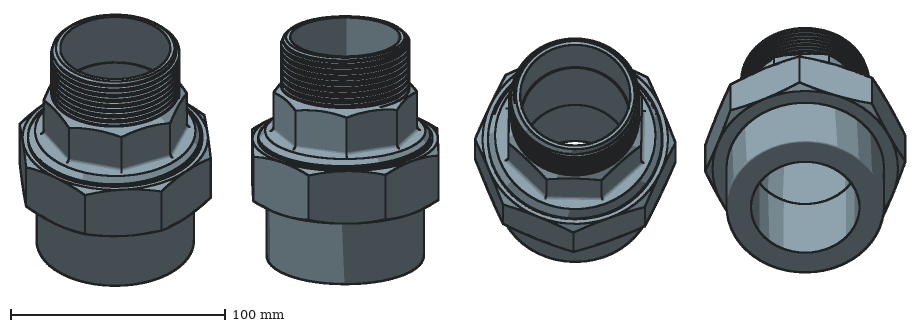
import cadquery as cq
import math

TOTAL_HEIGHT = 109.8

BORE_DIAMETER = 50.6
MOUTH_BORE_DIAMETER = 51.4
MOUTH_BORE_DEPTH = 25.6

THREAD_LENGTH = 24.7
THREAD_TURNS = 8.5
THREAD_PITCH = THREAD_LENGTH / THREAD_TURNS
RIDGE_ROOT_OVERLAP = 0.2
ENVELOPE_MARGIN = 1.1

PIPE_THREAD_DIAMETER = 59.9
PIPE_ROOT_DIAMETER = 57.1
PIPE_RIDGE_BASE = 2.0
PIPE_RIDGE_CREST = 0.7
PIPE_THREAD_BOTTOM = TOTAL_HEIGHT - THREAD_LENGTH
PIPE_RIDGE_START = 80.6
PIPE_RIDGE_TURNS = 11
PIPE_END_DIAMETER = 55.3

WRENCH_FLATS = 62.0
WRENCH_COVE_RADIUS = 2.0
WRENCH_CHAMFER_ANGLE = 30.0

COLLAR_TOP = 63.0
COLLAR_TOP_DIAMETER = 74.9
COLLAR_THREAD_DIAMETER = 81.5
COLLAR_ROOT_DIAMETER = 79.3
COLLAR_RIDGE_BASE = 2.6
COLLAR_RIDGE_CREST = 1.8
COLLAR_RIDGE_START = 38.2
COLLAR_RIDGE_TURNS = 10

NUT_CORNERS = 93.6
NUT_BOTTOM = 32.9
NUT_TOP = 59.2
NUT_CHAMFER_ANGLE = 30.0
NUT_BORE_DIAMETER = 81.6
NUT_LIP_THICKNESS = 4.4

TAIL_DIAMETER = 73.5
TAIL_EDGE_RADIUS = 1.0
TAIL_FLANGE_DIAMETER = 78.6
TAIL_FLANGE_THICKNESS = 4.4

FLANGE_BOTTOM = NUT_BOTTOM + NUT_LIP_THICKNESS
JOINT_HEIGHT = FLANGE_BOTTOM + TAIL_FLANGE_THICKNESS

OCTAGON_SIDES = 8
CORNER_ANGLE = math.pi / OCTAGON_SIDES


def cylinder(diameter, bottom, top):
    return cq.Workplane("XY").workplane(offset=bottom).circle(diameter / 2).extrude(top - bottom)


def revolved(points):
    """Turn a closed (radius, height) outline about the Z axis."""
    return cq.Workplane("XZ").polyline(points).close().revolve(360, (0, 0), (0, 1))


def thread_ridge(crest_diameter, root_diameter, crest_width, base_width, start_height, turns):
    """Right-handed helical ridge whose centre passes the +X side at start_height."""
    crest = crest_diameter / 2
    root = root_diameter / 2
    sunk = root - RIDGE_ROOT_OVERLAP
    flank_slope = (base_width - crest_width) / 2 / (crest - root)
    half_crest = crest_width / 2
    half_base = half_crest + flank_slope * (crest - sunk)
    outline = [
        (sunk, start_height - half_base),
        (crest, start_height - half_crest),
        (crest, start_height + half_crest),
        (sunk, start_height + half_base),
    ]
    path = cq.Wire.makeHelix(THREAD_PITCH, THREAD_PITCH * turns, root, cq.Vector(0, 0, start_height))
    return cq.Workplane("XZ").polyline(outline).close().sweep(cq.Workplane(path), isFrenet=True)


def chamfered_envelope(max_diameter, end_diameter, bottom, top):
    """Cylinder with a 45 degree chamfer round its top end."""
    outer = max_diameter / 2
    end = end_diameter / 2
    return revolved([(0, bottom), (outer, bottom), (outer, top - (outer - end)), (end, top), (0, top)])


def threaded_cylinder(
    crest_diameter, root_diameter, crest_width, base_width, end_diameter, bottom, top, ridge_start, ridge_turns
):
    """Cylinder with a helical ridge, trimmed to its two ends and its lead chamfer."""
    blank_bottom = ridge_start - THREAD_PITCH
    blank_top = ridge_start + (ridge_turns + 1) * THREAD_PITCH
    blank = cylinder(root_diameter, blank_bottom, blank_top)
    ridge = thread_ridge(crest_diameter, root_diameter, crest_width, base_width, ridge_start, ridge_turns)
    envelope = chamfered_envelope(crest_diameter + ENVELOPE_MARGIN, end_diameter, bottom, top)
    return blank.union(ridge).intersect(envelope)


def wrench_octagon():
    """Octagon with a mitred cove at its foot and a conical chamfer at its top."""
    half_flats = WRENCH_FLATS / 2
    cove = WRENCH_COVE_RADIUS
    foot = half_flats + cove
    cove_middle = cove * (1 - math.sqrt(0.5))
    slab = (
        cq.Workplane("XZ")
        .moveTo(-foot, COLLAR_TOP)
        .lineTo(foot, COLLAR_TOP)
        .threePointArc((half_flats + cove_middle, COLLAR_TOP + cove_middle), (half_flats, COLLAR_TOP + cove))
        .lineTo(half_flats, PIPE_THREAD_BOTTOM)
        .lineTo(-half_flats, PIPE_THREAD_BOTTOM)
        .lineTo(-half_flats, COLLAR_TOP + cove)
        .threePointArc((-half_flats - cove_middle, COLLAR_TOP + cove_middle), (-foot, COLLAR_TOP))
        .close()
        .extrude(WRENCH_FLATS, both=True)
    )
    body = slab
    for turn in range(1, OCTAGON_SIDES // 2):
        body = body.intersect(slab.rotate((0, 0, 0), (0, 0, 1), turn * 360 / OCTAGON_SIDES))

    shoulder = PIPE_ROOT_DIAMETER / 2
    corner = foot / math.cos(CORNER_ANGLE)
    drop = (corner - shoulder) * math.tan(math.radians(WRENCH_CHAMFER_ANGLE))
    cone = revolved([
        (0, COLLAR_TOP),
        (corner, COLLAR_TOP),
        (corner, PIPE_THREAD_BOTTOM - drop),
        (shoulder, PIPE_THREAD_BOTTOM),
        (0, PIPE_THREAD_BOTTOM),
    ])
    return body.intersect(cone)


def make_male_fitting():
    pipe_thread = threaded_cylinder(
        PIPE_THREAD_DIAMETER,
        PIPE_ROOT_DIAMETER,
        PIPE_RIDGE_CREST,
        PIPE_RIDGE_BASE,
        PIPE_END_DIAMETER,
        COLLAR_TOP,
        TOTAL_HEIGHT,
        PIPE_RIDGE_START,
        PIPE_RIDGE_TURNS,
    )
    collar = threaded_cylinder(
        COLLAR_THREAD_DIAMETER,
        COLLAR_ROOT_DIAMETER,
        COLLAR_RIDGE_CREST,
        COLLAR_RIDGE_BASE,
        COLLAR_TOP_DIAMETER,
        JOINT_HEIGHT,
        COLLAR_TOP,
        COLLAR_RIDGE_START,
        COLLAR_RIDGE_TURNS,
    )
    bore = cylinder(BORE_DIAMETER, JOINT_HEIGHT, TOTAL_HEIGHT)
    mouth = cylinder(MOUTH_BORE_DIAMETER, TOTAL_HEIGHT - MOUTH_BORE_DEPTH, TOTAL_HEIGHT)
    return pipe_thread.union(wrench_octagon()).union(collar).cut(bore).cut(mouth)


def make_union_nut():
    corner = NUT_CORNERS / 2
    flat = corner * math.cos(CORNER_ANGLE)
    drop = (corner - flat) * math.tan(math.radians(NUT_CHAMFER_ANGLE))
    octagon = (
        cq.Workplane("XY")
        .workplane(offset=NUT_BOTTOM)
        .polygon(OCTAGON_SIDES, NUT_CORNERS)
        .extrude(NUT_TOP - NUT_BOTTOM)
    )
    double_cone = revolved([
        (0, NUT_BOTTOM),
        (flat, NUT_BOTTOM),
        (corner, NUT_BOTTOM + drop),
        (corner, NUT_TOP - drop),
        (flat, NUT_TOP),
        (0, NUT_TOP),
    ])
    lip_hole = cylinder(TAIL_DIAMETER, NUT_BOTTOM, FLANGE_BOTTOM)
    collar_hole = cylinder(NUT_BORE_DIAMETER, FLANGE_BOTTOM, NUT_TOP)
    return octagon.intersect(double_cone).cut(lip_hole).cut(collar_hole)


def make_tail_piece():
    tube = cylinder(TAIL_DIAMETER, 0, JOINT_HEIGHT).faces("<Z").edges().fillet(TAIL_EDGE_RADIUS)
    flange = cylinder(TAIL_FLANGE_DIAMETER, FLANGE_BOTTOM, JOINT_HEIGHT)
    bore = cylinder(BORE_DIAMETER, 0, JOINT_HEIGHT)
    return tube.union(flange).cut(bore)


male_fitting = make_male_fitting()
union_nut = make_union_nut()
tail_piece = make_tail_piece()

result = cq.Compound.makeCompound([male_fitting.val(), union_nut.val(), tail_piece.val()])